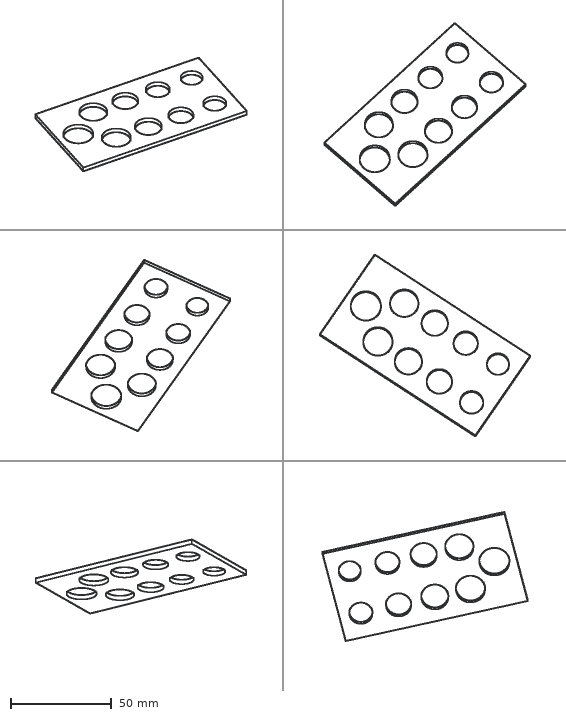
import cadquery as cq

plate_width = 49.0
plate_length = 92.9
plate_thickness = 2.4

hole_axis_x = -0.3
column_spacing = 23.5
left_column_x = hole_axis_x - column_spacing / 2
right_column_x = hole_axis_x + column_spacing / 2

paired_rows = [
    (35.5, 11.0, 11.5),
    (16.3, 12.0, 12.5),
    (-2.2, 13.0, 13.5),
    (-20.4, 14.0, 14.5),
]

end_hole_y = -paired_rows[0][0]
end_hole_diameter = 15.0


def cut_hole(body, x, y, diameter):
    """Cut a round through hole at (x, y)."""
    cutter = cq.Workplane("XY").center(x, y).circle(diameter / 2).extrude(plate_thickness)
    return body.cut(cutter)


plate = cq.Workplane("XY").box(
    plate_width, plate_length, plate_thickness, centered=(True, True, False)
)

for row_y, left_diameter, right_diameter in paired_rows:
    plate = cut_hole(plate, left_column_x, row_y, left_diameter)
    plate = cut_hole(plate, right_column_x, row_y, right_diameter)

result = cut_hole(plate, hole_axis_x, end_hole_y, end_hole_diameter)